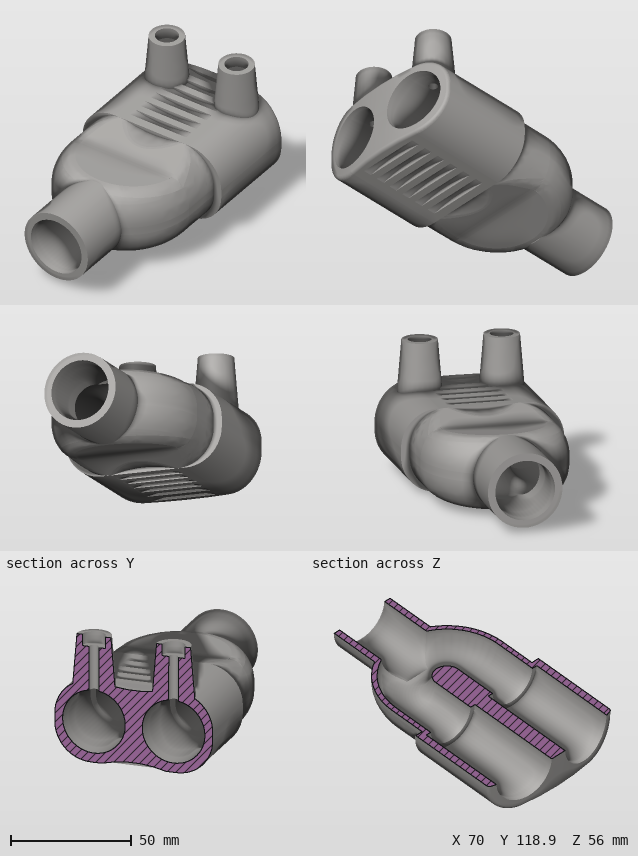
import cadquery as cq
import math


tube_radius = 32.0 / 2
tube_bore_radius = 25.6 / 2

sleeve_width = 70.0
sleeve_height = 36.0
sleeve_front = 69.5
sleeve_back = 118.9
back_face_radius = 118.9
rim_fillet = 1.5
corner_radius = 16.2

body_width = 62.8
bend_center = 51.4
waist_half_height = 14.3
waist_arc_radius = 14.3
waist_arc_width = 44.7
waist_fill_depth = 1.2
crest = 28.9
shoulder_fillet = 7.1
shoulder_end_drop = 0.06
shoulder_sections = 5
hollow_edge_fillet = 6.0

passage_spacing = 35.2
passage_radius = 22.6 / 2
socket_radius = 27.5 / 2
socket_floor_thickness = 3.0

slot_length = 28.5
slot_width = 3.9
slot_pitch = 7.4
slot_count = 6
first_slot = 75.6

port_y = 105.5
overall_height = 56.0
port_top = overall_height - sleeve_height / 2
port_top_radius = 7.6
port_base_radius = 9.3
port_root_depth = 3.6
port_counterbore_radius = 10.0 / 2
port_counterbore_depth = 5.0
port_hole_radius = 4.0 / 2

half_height = sleeve_height / 2
passage_x = passage_spacing / 2
socket_floor = sleeve_front + socket_floor_thickness

hollow_depth = half_height - tube_radius
hollow_radius = ((slot_length / 2) ** 2 + hollow_depth ** 2) / (2 * hollow_depth)

corner_x = body_width / 2 - corner_radius
corner_z = half_height - corner_radius

back_slope = (half_height - shoulder_end_drop - waist_half_height) / (sleeve_front - bend_center)
front_slope = (waist_half_height - tube_radius) / (bend_center - crest)


def along_y(start):
    """Workplane at y = start; a negative extrusion runs towards +Y."""
    return cq.Workplane("XZ", origin=(0, start, 0))


def rod(x, z, radius, start, end):
    return along_y(start).center(x, z).circle(radius).extrude(start - end)


def both_ends(shape):
    return shape.union(shape.mirror("YZ"))


def both_faces(shape):
    return shape.union(shape.mirror("XY"))


def make_hollow(start, end):
    return both_faces(rod(0, tube_radius + hollow_radius, hollow_radius, start, end))


def half_section(plane, height):
    """Right half of the body section, its top and bottom blended into the round side."""
    reach = corner_radius - shoulder_fillet
    blend_z = height - shoulder_fillet
    blend_x = corner_x + math.sqrt(reach ** 2 - (blend_z - corner_z) ** 2)
    angle = math.atan2(blend_z - corner_z, blend_x - corner_x)
    blend_angle = (angle + math.pi / 2) / 2

    def blend_point(a, side):
        return (
            blend_x + shoulder_fillet * math.cos(a),
            side * (blend_z + shoulder_fillet * math.sin(a)),
        )

    def corner_point(a, side):
        return (
            corner_x + corner_radius * math.cos(a),
            side * (corner_z + corner_radius * math.sin(a)),
        )

    return (
        plane.moveTo(0, -height)
        .lineTo(blend_x, -height)
        .threePointArc(blend_point(blend_angle, -1), blend_point(angle, -1))
        .threePointArc(corner_point(angle / 2, -1), corner_point(0, -1))
        .lineTo(*corner_point(0, 1))
        .threePointArc(corner_point(angle / 2, 1), corner_point(angle, 1))
        .threePointArc(blend_point(blend_angle, 1), blend_point(math.pi / 2, 1))
        .lineTo(0, height)
        .close()
    )


def make_back_half():
    step = (sleeve_front - bend_center) / (shoulder_sections - 1)
    sections = along_y(bend_center)
    for i in range(shoulder_sections):
        if i > 0:
            sections = sections.workplane(offset=-step)
        sections = half_section(sections, waist_half_height + back_slope * i * step)
    back_half = both_ends(sections.loft()).cut(make_hollow(bend_center, sleeve_front))
    return back_half.edges("%ELLIPSE").fillet(hollow_edge_fillet)


def make_front_half():
    disc = cq.Workplane("XY", origin=(0, bend_center, 0)).circle(body_width / 2)
    disc = disc.extrude(half_height, both=True).edges().fillet(corner_radius)
    start = bend_center - body_width
    end = bend_center + body_width
    wedge = (
        cq.Workplane("YZ")
        .moveTo(start, waist_half_height + front_slope * (start - bend_center))
        .lineTo(end, waist_half_height + front_slope * (end - bend_center))
        .lineTo(end, sleeve_height)
        .lineTo(start, sleeve_height)
        .close()
        .extrude(body_width, both=True)
    )
    disc = disc.cut(both_faces(wedge)).edges("%BSPLINE").fillet(shoulder_fillet)
    front_space = along_y(start).rect(sleeve_width, sleeve_height).extrude(-body_width)
    return disc.intersect(front_space)


def make_waist_arcs():
    """Fill the crease at the waist with an arc tangent to both slopes."""
    back_angle = math.atan(back_slope)
    front_angle = math.atan(-front_slope)
    tangent = waist_arc_radius * math.tan((back_angle + front_angle) / 2)
    front_y = bend_center - tangent * math.cos(front_angle)
    front_z = waist_half_height + tangent * math.sin(front_angle)
    back_y = bend_center + tangent * math.cos(back_angle)
    back_z = waist_half_height + tangent * math.sin(back_angle)
    root = waist_half_height - waist_fill_depth
    filler = (
        cq.Workplane("YZ")
        .moveTo(front_y, root)
        .lineTo(front_y, front_z)
        .radiusArc((back_y, back_z), -waist_arc_radius)
        .lineTo(back_y, root)
        .close()
        .extrude(waist_arc_width / 2, both=True)
    )
    return both_faces(filler)


def make_body():
    return make_back_half().union(make_front_half()).union(make_waist_arcs())


def make_sleeve():
    bar = along_y(sleeve_front).rect(sleeve_width, sleeve_height)
    bar = bar.extrude(sleeve_front - sleeve_back).edges("|Y").fillet(corner_radius)
    back_face = (
        cq.Workplane("XY")
        .center(0, sleeve_back - back_face_radius)
        .circle(back_face_radius)
        .extrude(sleeve_height, both=True)
    )
    return bar.intersect(back_face).faces(">Y").edges().fillet(rim_fillet)


def make_slots():
    hollow = make_hollow(sleeve_front, sleeve_back)
    bars = cq.Workplane("XY")
    for i in range(slot_count):
        bar = cq.Workplane("XY").box(slot_length, slot_width, 2 * sleeve_height)
        bars = bars.add(bar.translate((0, first_slot + i * slot_pitch, 0)))
    return bars.combine().intersect(hollow)


def make_port():
    """Tapered port, rooted a little below the sleeve surface."""
    taper = (port_base_radius - port_top_radius) / (port_top - half_height)
    root_radius = port_base_radius + taper * port_root_depth
    root = half_height - port_root_depth
    return (
        cq.Workplane("XZ", origin=(passage_x, port_y, 0))
        .moveTo(0, root)
        .lineTo(root_radius, root)
        .lineTo(port_top_radius, port_top)
        .lineTo(0, port_top)
        .close()
        .revolve(360, (0, 0, 0), (0, 1, 0))
    )


def make_port_bore():
    top = cq.Workplane("XY", origin=(passage_x, port_y, port_top))
    counterbore = top.circle(port_counterbore_radius).extrude(-port_counterbore_depth)
    return counterbore.union(top.circle(port_hole_radius).extrude(-port_top))


def make_passages():
    """Straight sockets at the back, joined at the front by a half-ring bend."""
    bend = (
        along_y(bend_center)
        .center(passage_x, 0)
        .circle(passage_radius)
        .revolve(180, (-passage_x, 0, 0), (-passage_x, -1, 0))
    )
    straight = rod(passage_x, 0, passage_radius, bend_center, socket_floor)
    socket = rod(passage_x, 0, socket_radius, socket_floor, sleeve_back)
    outlet = rod(0, 0, tube_bore_radius, 0, bend_center - passage_x)
    return bend.union(both_ends(straight.union(socket))).union(outlet)


outlet_tube = rod(0, 0, tube_radius, 0, crest)
result = (
    make_sleeve()
    .cut(make_slots())
    .union(make_body())
    .union(outlet_tube)
    .union(both_ends(make_port()))
    .cut(make_passages())
    .cut(both_ends(make_port_bore()))
)